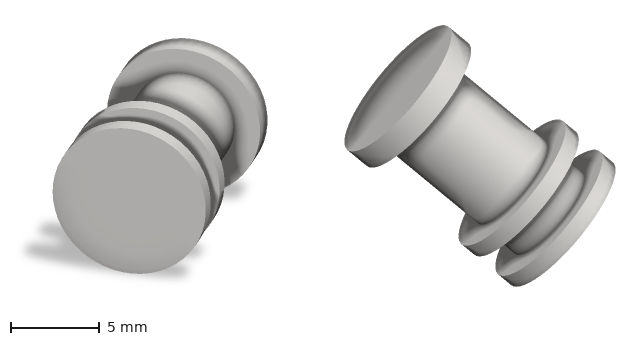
import cadquery as cq

flange_diameter = 9.0
core_diameter = 6.0

front_flange_width = 1.0
groove_width = 1.8
middle_flange_width = 1.0
barrel_length = 7.2
rear_flange_width = 1.5

steps = [
    (flange_diameter, front_flange_width),
    (core_diameter, groove_width),
    (flange_diameter, middle_flange_width),
    (core_diameter, barrel_length),
    (flange_diameter, rear_flange_width),
]


def make_spool(steps):
    """Revolve the stepped half-profile, drawn on the -X side, about the Y axis."""
    profile = cq.Workplane("XY").moveTo(0, 0)
    y = 0.0
    for diameter, length in steps:
        profile = profile.lineTo(-diameter / 2, y)
        y += length
        profile = profile.lineTo(-diameter / 2, y)
    profile = profile.lineTo(0, y).close()
    return profile.revolve(360, (0, 0, 0), (0, 1, 0))


result = make_spool(steps)